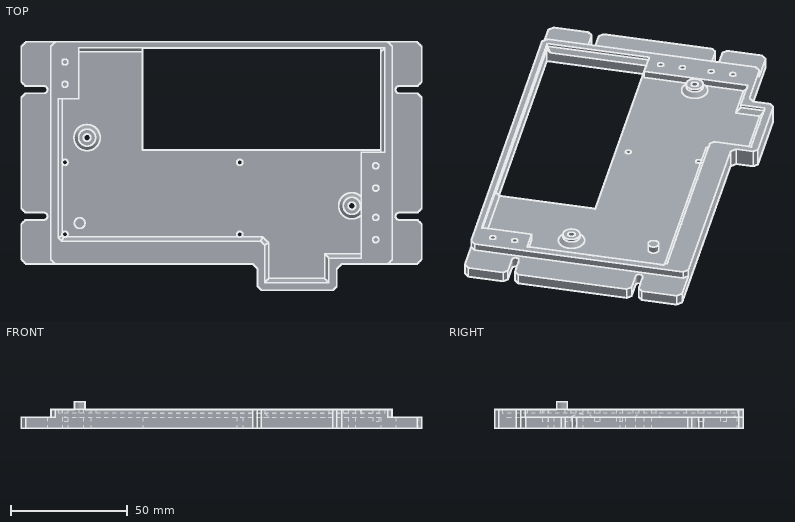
import cadquery as cq

plate_length = 171.45
plate_width = 95.25
ear_width = 12.7
ear_height = 4.83
frame_height = 8.13
frame_length = plate_length - 2 * ear_width
plate_corner_chamfer = 2.03
frame_corner_chamfer = 1.95

tab_left = 15.4
tab_right = 49.4
tab_reach = 106.46 - plate_width
tab_inner_chamfer = 2.03
tab_outer_chamfer = 1.7

slot_width = 3.05
slot_depth = 11.2
slot_spacing = 54.2
slot_mouth_chamfer = 1.78

pocket_floor = 4.83
pocket_half_length = 69.98
pocket_front = 9.85
pocket_back = plate_width - 2.54
pocket_tab_left = 18.42
pocket_tab_right = 45.97
pocket_tab_front = -7.9
pocket_right_front = 2.65
pocket_corner_chamfer = 1.6
pocket_base_chamfer = 1.85

left_pad_edge = -61.2
left_pad_front = 70.9
right_pad_edge = 59.9
right_pad_back = 48.0

window_left = -33.76
window_right = pocket_half_length - pocket_base_chamfer
window_front = 49.0
window_ledge = 0.25
window_back = pocket_back - window_ledge

pad_hole_diameter = 2.54
pad_hole_depth = 5.0
pad_hole_pitch = 9.53
left_pad_hole_x = -67.0
left_pad_hole_y = 77.03
right_pad_hole_x = 66.04
right_pad_hole_ys = (10.5, 32.6)
floor_hole_diameter = 2.39
floor_hole_xs = (-67.0, 7.8)
floor_hole_ys = (12.8, 43.6)

boss_diameter = 7.3
boss_flare = 1.97
boss_hole_diameter = 3.05
boss_centers = [(-57.55, 54.2), (55.8, 25.0)]

pin_diameter = 4.57
pin_bottom = frame_height
pin_top = 11.43
pin_center = (-60.7, 17.6)


def block(x_min, x_max, y_min, y_max, z_min, z_max):
    """Box given by its limits along each axis."""
    size = (x_max - x_min, y_max - y_min, z_max - z_min)
    return cq.Workplane("XY").box(*size, centered=False).translate((x_min, y_min, z_min))


def cylinders(centers, diameter, z_min, z_max):
    """Upright cylinders of one diameter."""
    return (
        cq.Workplane("XY", origin=(0, 0, z_min))
        .pushPoints(centers)
        .circle(diameter / 2)
        .extrude(z_max - z_min)
    )


def make_frame_blank():
    """Low plate with ears, the raised frame and the front tab, all with chamfered corners."""
    half_plate = plate_length / 2
    half_frame = frame_length / 2
    ears = block(-half_plate, half_plate, 0, plate_width, 0, ear_height)
    raised = block(-half_frame, half_frame, 0, plate_width, 0, frame_height)
    ears = ears.edges("|Z").chamfer(plate_corner_chamfer)
    raised = raised.edges("|Z").chamfer(frame_corner_chamfer)
    inner = tab_inner_chamfer
    outer = tab_outer_chamfer
    tab = (
        cq.Workplane("XY")
        .moveTo(tab_left - inner, 0)
        .lineTo(tab_left, -inner)
        .lineTo(tab_left, outer - tab_reach)
        .lineTo(tab_left + outer, -tab_reach)
        .lineTo(tab_right - outer, -tab_reach)
        .lineTo(tab_right, outer - tab_reach)
        .lineTo(tab_right, -inner)
        .lineTo(tab_right + inner, 0)
        .lineTo(tab_right + inner, pocket_front)
        .lineTo(tab_left - inner, pocket_front)
        .close()
        .extrude(frame_height)
    )
    return ears.union(raised).union(tab)


def make_ear_slot(side, y):
    """Round-ended slot open to the ear's outer edge, with a flared mouth; side is -1 or 1."""
    edge = side * plate_length / 2
    radius = slot_width / 2
    round_start = edge - side * (slot_depth - radius)
    mouth = radius + slot_mouth_chamfer
    return (
        cq.Workplane("XY")
        .moveTo(edge, y - mouth)
        .lineTo(edge - side * slot_mouth_chamfer, y - radius)
        .lineTo(round_start, y - radius)
        .threePointArc((round_start - side * radius, y), (round_start, y + radius))
        .lineTo(edge - side * slot_mouth_chamfer, y + radius)
        .lineTo(edge, y + mouth)
        .close()
        .extrude(ear_height)
    )


def make_pocket():
    """Space inside the frame: walls chamfered at the floor, with the two pads left out."""
    c = pocket_corner_chamfer
    space = (
        cq.Workplane("XY", origin=(0, 0, pocket_floor))
        .moveTo(-pocket_half_length, pocket_back)
        .lineTo(-pocket_half_length, pocket_front + c)
        .lineTo(-pocket_half_length + c, pocket_front)
        .lineTo(pocket_tab_left - c, pocket_front)
        .lineTo(pocket_tab_left, pocket_front - c)
        .lineTo(pocket_tab_left, pocket_tab_front)
        .lineTo(pocket_tab_right, pocket_tab_front)
        .lineTo(pocket_tab_right, pocket_right_front)
        .lineTo(pocket_half_length, pocket_right_front)
        .lineTo(pocket_half_length, pocket_back)
        .close()
        .extrude(frame_height - pocket_floor)
        .faces("<Z")
        .chamfer(pocket_base_chamfer)
    )
    left_pad = block(
        -pocket_half_length, left_pad_edge, left_pad_front, pocket_back, pocket_floor, frame_height
    )
    right_pad = block(
        right_pad_edge, pocket_half_length, pocket_right_front, right_pad_back, pocket_floor, frame_height
    )
    return space.cut(left_pad).cut(right_pad)


def make_boss(center):
    """Round boss standing on the pocket floor, flaring out into it with a 45 degree cone."""
    radius = boss_diameter / 2
    flare_radius = radius + boss_flare
    flare_top = pocket_floor + boss_flare
    return (
        cq.Workplane("XZ")
        .moveTo(0, 0)
        .lineTo(flare_radius, 0)
        .lineTo(flare_radius, pocket_floor)
        .lineTo(radius, flare_top)
        .lineTo(radius, frame_height)
        .lineTo(0, frame_height)
        .close()
        .revolve(360, (0, 0, 0), (0, 1, 0))
        .translate((*center, 0))
    )


def make_frame():
    frame = make_frame_blank().cut(make_pocket())
    for side in (-1, 1):
        for offset in (-slot_spacing / 2, slot_spacing / 2):
            frame = frame.cut(make_ear_slot(side, plate_width / 2 + offset))
    frame = frame.cut(block(window_left, window_right, window_front, window_back, 0, frame_height))
    for center in boss_centers:
        frame = frame.union(make_boss(center))
    frame = frame.cut(cylinders(boss_centers, boss_hole_diameter, 0, frame_height))
    floor_holes = [(x, y) for x in floor_hole_xs for y in floor_hole_ys]
    frame = frame.cut(cylinders(floor_holes, floor_hole_diameter, 0, frame_height))
    first_pad_holes = [(left_pad_hole_x, left_pad_hole_y)]
    first_pad_holes += [(right_pad_hole_x, y) for y in right_pad_hole_ys]
    pad_holes = first_pad_holes + [(x, y + pad_hole_pitch) for x, y in first_pad_holes]
    return frame.cut(
        cylinders(pad_holes, pad_hole_diameter, frame_height - pad_hole_depth, frame_height)
    )


frame = make_frame()
pin = cylinders([pin_center], pin_diameter, pin_bottom, pin_top)

result = cq.Compound.makeCompound([frame.val(), pin.val()])